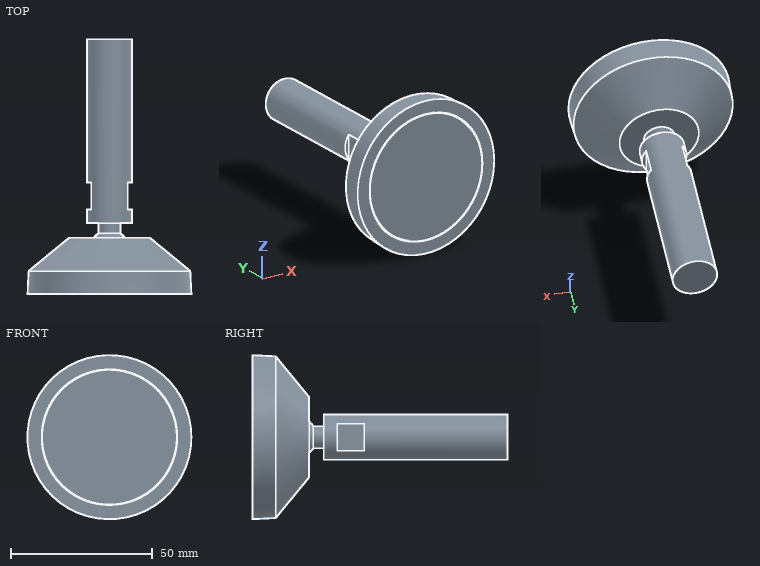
import cadquery as cq
import math

total_length = 90.0

foot_diameter = 58.0
rim_top_diameter = 57.15
rim_height = 8.2
foot_height = 20.0
foot_top_diameter = 28.4

groove_outer_diameter = 48.0
groove_inner_diameter = 47.5
groove_depth = 1.0

shaft_diameter = 16.0
shaft_start = 25.1
neck_diameter = 7.8
ball_diameter = 14.0
neck_start = 21.5
neck_overlap = 0.9

flats_start = 30.0
flats_length = 9.45
across_flats = 13.0

ball_center = neck_start - math.sqrt((ball_diameter / 2) ** 2 - (neck_diameter / 2) ** 2)


def cylinder(diameter, start, length):
    """Round bar along +Y, beginning at Y = start."""
    return cq.Workplane("XZ", origin=(0, start, 0)).circle(diameter / 2).extrude(-length)


def make_ball():
    return cq.Workplane("XY").sphere(ball_diameter / 2).translate((0, ball_center, 0))


def make_foot():
    """Tapered rim under a cone, with a ring groove below and a ball socket above."""
    body = (
        cq.Workplane("XY")
        .lineTo(foot_diameter / 2, 0)
        .lineTo(rim_top_diameter / 2, rim_height)
        .lineTo(foot_top_diameter / 2, foot_height)
        .lineTo(0, foot_height)
        .close()
        .revolve(360, (0, 0, 0), (0, 1, 0))
    )
    groove = cylinder(groove_outer_diameter, 0, groove_depth).cut(
        cylinder(groove_inner_diameter, 0, groove_depth)
    )
    return body.cut(groove).cut(make_ball())


def make_spindle():
    """Shaft with two wrench flats, joined by a neck to the ball."""
    shaft = cylinder(shaft_diameter, shaft_start, total_length - shaft_start)
    flats_middle = flats_start + flats_length / 2
    flats_band = cylinder(shaft_diameter, flats_start, flats_length)
    flats_core = cq.Workplane("XY").box(across_flats, flats_length, shaft_diameter)
    shaft = shaft.cut(flats_band.cut(flats_core.translate((0, flats_middle, 0))))
    neck_root = neck_start - neck_overlap
    neck = cylinder(neck_diameter, neck_root, shaft_start - neck_root)
    return shaft.union(neck).union(make_ball())


foot = make_foot()
spindle = make_spindle()

result = cq.Compound.makeCompound([foot.solids().val(), spindle.solids().val()])